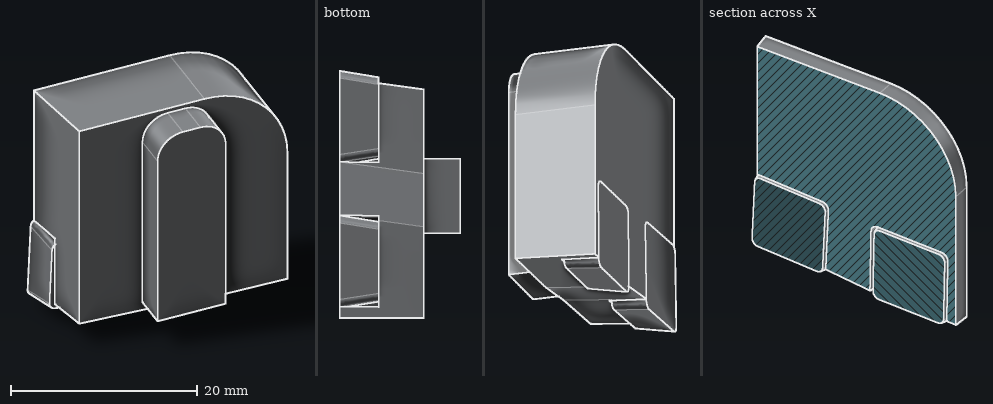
import cadquery as cq
import math

BODY_WIDTH = 9.05
BODY_LENGTH = 25.85
BODY_HEIGHT = 26.97
CORNER_RADIUS = 9.8
FRONT_SETBACK = 1.25
BOTTOM_RISE = 0.58

STEP_REAR_Y = 14.75
STEP_REAR_Z = 0.2
STEP_FRONT_Y = 9.04
STEP_FRONT_Z = 0.78
FRONT_BOTTOM_Z = 1.2

KEY_DEPTH = 3.95
KEY_WIDTH = 8.03
KEY_HEIGHT = 23.94
KEY_CENTER_Y = 12.73
KEY_BOTTOM_Z = 2.45
KEY_RADIUS = 2.97

INSERT_SIDE = 9.8
INSERT_DEPTH = 4.2
INSERT_RADIUS = 0.8
RELIEF_ANGLE = 9.0
INSERT_PLACEMENTS = [
    (19.8, 4.15, -1.0),
    (4.35, 4.98, -2.5),
]


def make_blank():
    """Body block with sloping front and underside and a rounded rear top corner."""
    outline = cq.Wire.makePolygon(
        [
            cq.Vector(0, BODY_LENGTH, 0),
            cq.Vector(0, STEP_REAR_Y, STEP_REAR_Z),
            cq.Vector(0, STEP_FRONT_Y, STEP_FRONT_Z),
            cq.Vector(0, 0, FRONT_BOTTOM_Z),
            cq.Vector(0, 0, BODY_HEIGHT),
            cq.Vector(0, BODY_LENGTH, BODY_HEIGHT),
        ],
        close=True,
    )
    slant = cq.Vector(BODY_WIDTH, FRONT_SETBACK, BOTTOM_RISE)
    slanted_prism = cq.Solid.extrudeLinear(outline, [], slant)
    straight_block = (
        cq.Workplane("XY")
        .box(BODY_WIDTH, BODY_LENGTH, BODY_HEIGHT, centered=False)
        .edges("|X and >Y and >Z")
        .fillet(CORNER_RADIUS)
    )
    return straight_block.intersect(cq.Workplane(slanted_prism))


def make_key():
    """Upright mounting key standing on the inner face."""
    return (
        cq.Workplane("XY")
        .box(KEY_DEPTH, KEY_WIDTH, KEY_HEIGHT, centered=(False, True, False))
        .edges("|X and >Z")
        .fillet(KEY_RADIUS)
        .translate((BODY_WIDTH, KEY_CENTER_Y, KEY_BOTTOM_Z))
    )


def place(shape, center_y, center_z, angle):
    """Turn a shape about X and move it to its seat."""
    return shape.rotate((0, 0, 0), (1, 0, 0), angle).translate((0, center_y, center_z))


def make_pocket():
    """Straight-sided recess with the outline of the insert's outer face."""
    return (
        cq.Workplane("YZ")
        .rect(INSERT_SIDE, INSERT_SIDE)
        .extrude(INSERT_DEPTH)
        .edges("|X")
        .fillet(INSERT_RADIUS)
    )


def make_insert():
    """Rounded square insert whose four flanks lean inward by the relief angle."""
    inner_side = INSERT_SIDE - 2 * INSERT_DEPTH * math.tan(math.radians(RELIEF_ANGLE))
    return (
        cq.Workplane("YZ")
        .rect(INSERT_SIDE, INSERT_SIDE)
        .workplane(offset=INSERT_DEPTH)
        .rect(inner_side, inner_side)
        .loft(ruled=True)
        .edges("not(#X)")
        .fillet(INSERT_RADIUS)
    )


holder = make_blank().union(make_key())
inserts = []
for placement in INSERT_PLACEMENTS:
    holder = holder.cut(place(make_pocket(), *placement))
    inserts.append(place(make_insert(), *placement).val())

result = cq.Compound.makeCompound([holder.val(), *inserts])